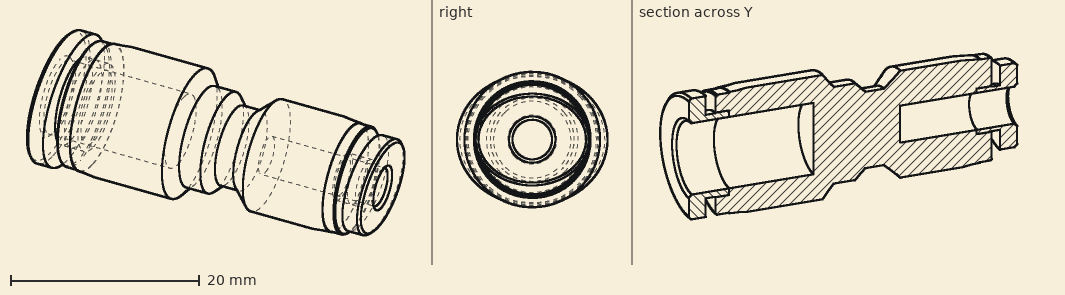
import cadquery as cq

TOTAL_LENGTH = 37.9

HOUSING_START = 3.1
LARGE_TAPER_START = 4.7
LARGE_TAPER_END = 6.67
LARGE_BARREL_END = 15.45
COLLAR_START = 16.75
COLLAR_END = 19.2
WAIST_START = 20.4
WAIST_END = 22.5
SMALL_BARREL_START = 24.4
SMALL_TAPER_START = 31.55
SMALL_TAPER_END = 33.58
HOUSING_END = 35.0
RIM_CHAMFER = 0.15

LARGE_RIM_DIAMETER = 13.9
LARGE_TAPER_DIAMETER = 14.05
LARGE_BARREL_DIAMETER = 14.4
COLLAR_DIAMETER = 11.2
WAIST_DIAMETER = 8.85
SMALL_BARREL_DIAMETER = 12.4
SMALL_TAPER_DIAMETER = 12.0
SMALL_RIM_DIAMETER = 11.9

SLEEVE_LENGTH = 4.65
FLANGE_THICKNESS = 2.0
FLANGE_CHAMFER = 0.3
LARGE_FLANGE_WIDTH = 16.0
LARGE_FLANGE_HEIGHT = 14.0
LARGE_NECK_DIAMETER = 9.7
LARGE_BORE_DIAMETER = 8.2
SMALL_FLANGE_WIDTH = 12.0
SMALL_FLANGE_HEIGHT = 9.75
SMALL_NECK_DIAMETER = 5.2
SMALL_BORE_DIAMETER = 4.2
LARGE_BORE_MOUTH_DIAMETER = 8.9
BORE_CHAMFER = (LARGE_BORE_MOUTH_DIAMETER - LARGE_BORE_DIAMETER) / 2

LARGE_BORE_DEPTH = 14.4
SMALL_BORE_DEPTH = TOTAL_LENGTH - SMALL_BARREL_START


def turn_to_far_end(shape):
    """Turn a shape about Z so that it enters the fitting from the far end."""
    return shape.rotate((0, 0, 0), (0, 0, 1), 180).translate((TOTAL_LENGTH, 0, 0))


def make_socket(neck_diameter, bore_diameter, bore_depth):
    """Cutter for one end of the housing: a seat for the sleeve neck and the bore beyond it."""
    seat = cq.Workplane("YZ").circle(neck_diameter / 2).extrude(SLEEVE_LENGTH)
    bore = cq.Workplane("YZ").circle(bore_diameter / 2).extrude(bore_depth)
    return seat.union(bore)


def make_housing():
    """Stepped outer body with a blind stepped socket at each end."""
    large_rim = LARGE_RIM_DIAMETER / 2
    small_rim = SMALL_RIM_DIAMETER / 2
    outline = [
        (HOUSING_START, 0),
        (HOUSING_START, large_rim - RIM_CHAMFER),
        (HOUSING_START + RIM_CHAMFER, large_rim),
        (LARGE_TAPER_START, large_rim),
        (LARGE_TAPER_START, LARGE_TAPER_DIAMETER / 2),
        (LARGE_TAPER_END, LARGE_BARREL_DIAMETER / 2),
        (LARGE_BARREL_END, LARGE_BARREL_DIAMETER / 2),
        (COLLAR_START, COLLAR_DIAMETER / 2),
        (COLLAR_END, COLLAR_DIAMETER / 2),
        (WAIST_START, WAIST_DIAMETER / 2),
        (WAIST_END, WAIST_DIAMETER / 2),
        (SMALL_BARREL_START, SMALL_BARREL_DIAMETER / 2),
        (SMALL_TAPER_START, SMALL_BARREL_DIAMETER / 2),
        (SMALL_TAPER_END, SMALL_TAPER_DIAMETER / 2),
        (SMALL_TAPER_END, small_rim),
        (HOUSING_END - RIM_CHAMFER, small_rim),
        (HOUSING_END, small_rim - RIM_CHAMFER),
        (HOUSING_END, 0),
    ]
    body = cq.Workplane("XY").polyline(outline).close().revolve(360, (0, 0, 0), (1, 0, 0))
    large_socket = make_socket(LARGE_NECK_DIAMETER, LARGE_BORE_DIAMETER, LARGE_BORE_DEPTH)
    small_socket = make_socket(SMALL_NECK_DIAMETER, SMALL_BORE_DIAMETER, SMALL_BORE_DEPTH)
    return body.cut(large_socket).cut(turn_to_far_end(small_socket))


def make_sleeve(flange_width, flange_height, neck_diameter, bore_diameter):
    """Release sleeve with its flange face on X = 0 and its neck pointing along +X."""
    flange = (
        cq.Workplane("YZ")
        .ellipse(flange_width / 2, flange_height / 2)
        .extrude(FLANGE_THICKNESS)
        .faces("<X")
        .chamfer(FLANGE_CHAMFER)
    )
    neck = cq.Workplane("YZ").circle(neck_diameter / 2).extrude(SLEEVE_LENGTH)
    bore = cq.Workplane("YZ").circle(bore_diameter / 2).extrude(SLEEVE_LENGTH)
    bore_radius = bore_diameter / 2
    bore_mouth = (
        cq.Workplane("XY")
        .polyline([(0, 0), (0, bore_radius + BORE_CHAMFER), (BORE_CHAMFER, bore_radius), (BORE_CHAMFER, 0)])
        .close()
        .revolve(360, (0, 0, 0), (1, 0, 0))
    )
    return flange.union(neck).cut(bore).cut(bore_mouth)


housing = make_housing()
large_sleeve = make_sleeve(
    LARGE_FLANGE_WIDTH, LARGE_FLANGE_HEIGHT, LARGE_NECK_DIAMETER, LARGE_BORE_DIAMETER
)
small_sleeve = turn_to_far_end(
    make_sleeve(SMALL_FLANGE_WIDTH, SMALL_FLANGE_HEIGHT, SMALL_NECK_DIAMETER, SMALL_BORE_DIAMETER)
)

result = cq.Compound.makeCompound([housing.val(), large_sleeve.val(), small_sleeve.val()])